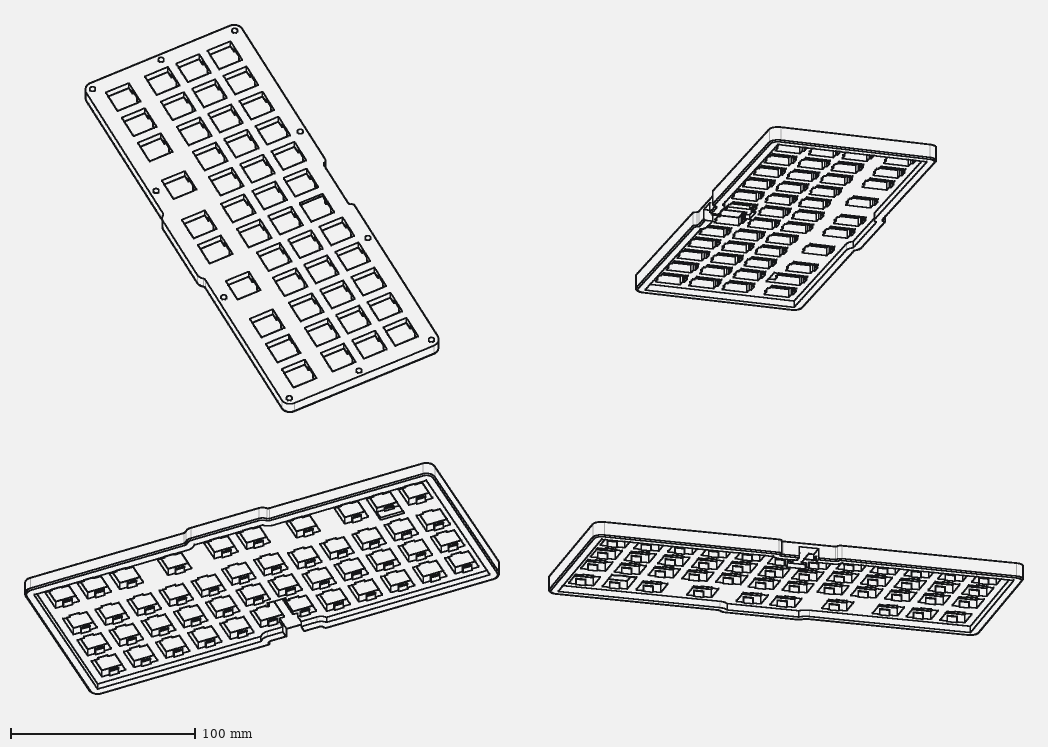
import cadquery as cq
import math

KEY_PITCH = 19.05
CUTOUT = 14.0
COLUMNS = 12
MAIN_ROWS = 3
CENTRE_COLUMNS = 2
LOW_ROW_OUTER_KEYS = 3
SPREAD_KEY_X = 2 * KEY_PITCH
CENTRE_DROP = KEY_PITCH / 8
LOW_ROW_STEP = KEY_PITCH * 1.25
FRAME = 16.525

HEIGHT = 8.35
LENGTH = (COLUMNS - 1) * KEY_PITCH + 2 * FRAME
MAIN_WIDTH = (MAIN_ROWS - 1) * KEY_PITCH + LOW_ROW_STEP + 2 * FRAME
TOP = (MAIN_WIDTH + CENTRE_DROP) / 2
BOTTOM = TOP - MAIN_WIDTH
FIRST_COLUMN_X = -LENGTH / 2 + FRAME
TOP_ROW_Y = TOP - FRAME
LOW_ROW_Y = BOTTOM + FRAME
CORNER_RADIUS = 5.0
BOTTOM_CHAMFER = 0.8

PLATE_THICKNESS = 4.7
RIM_WIDTH = 5.0
CABLE_SLOT_WIDTH = 10.8
CABLE_SLOT_REACH = 28.5
WEB_POCKET_X = 4.5 * KEY_PITCH
WEB_POCKET_REACH = 5.0
WEB_POCKET_ROOF = 3.0
CABLE_SLOT_ROOF = 2.2

TAB_FLAT_HALF = 20.2
TAB_RADIUS = 5.0
TAB_ROOT_RADIUS = 1.5
NOTCH_FLAT_HALF = 14.7
NOTCH_RADIUS = 2.0
NOTCH_ROOT_RADIUS = 1.0

CLIP_WIDTH = 5.5
CLIP_REACH = 1.0
CLIP_TOP = 1.5
CLIP_HEIGHT = PLATE_THICKNESS - CLIP_TOP

SCREW_DIAMETER = 3.1
SCREW_DEPTH = 4.0
CORNER_SCREW_INSET = 4.2
SIDE_SCREW_INSET = 3.5
EDGE_SCREW_INSET = 3.6
EDGE_SCREW_X = 40.3


def step_curve(flat_radius, other_radius):
    """Run along X of two opposed tangent arcs that drop by CENTRE_DROP, and the X and Y
    of the point where they meet, measured from the tangent point of the first arc."""
    total = flat_radius + other_radius
    run = math.sqrt(total**2 - (total - CENTRE_DROP) ** 2)
    share = flat_radius / total
    return run, run * share, CENTRE_DROP * share


def block(left, right, front, back, height):
    """Box standing on the underside plane."""
    return (
        cq.Workplane("XY")
        .center((left + right) / 2, (front + back) / 2)
        .rect(right - left, back - front)
        .extrude(height)
    )


def plate_outline():
    tab_run, tab_x, tab_y = step_curve(TAB_RADIUS, TAB_ROOT_RADIUS)
    notch_run, notch_x, notch_y = step_curve(NOTCH_ROOT_RADIUS, NOTCH_RADIUS)
    tab_y_level = BOTTOM - CENTRE_DROP
    notch_y_level = TOP - CENTRE_DROP
    half = LENGTH / 2

    return (
        cq.Workplane("XY")
        .moveTo(-half, BOTTOM)
        .lineTo(-TAB_FLAT_HALF - tab_run, BOTTOM)
        .radiusArc((-TAB_FLAT_HALF - tab_x, tab_y_level + tab_y), TAB_ROOT_RADIUS)
        .radiusArc((-TAB_FLAT_HALF, tab_y_level), -TAB_RADIUS)
        .lineTo(TAB_FLAT_HALF, tab_y_level)
        .radiusArc((TAB_FLAT_HALF + tab_x, tab_y_level + tab_y), -TAB_RADIUS)
        .radiusArc((TAB_FLAT_HALF + tab_run, BOTTOM), TAB_ROOT_RADIUS)
        .lineTo(half, BOTTOM)
        .lineTo(half, TOP)
        .lineTo(NOTCH_FLAT_HALF + notch_run, TOP)
        .radiusArc((NOTCH_FLAT_HALF + notch_x, notch_y_level + notch_y), -NOTCH_RADIUS)
        .radiusArc((NOTCH_FLAT_HALF, notch_y_level), NOTCH_ROOT_RADIUS)
        .lineTo(-NOTCH_FLAT_HALF, notch_y_level)
        .radiusArc((-NOTCH_FLAT_HALF - notch_x, notch_y_level + notch_y), NOTCH_ROOT_RADIUS)
        .radiusArc((-NOTCH_FLAT_HALF - notch_run, TOP), -NOTCH_RADIUS)
        .lineTo(-half, TOP)
        .close()
    )


def plate_blank():
    blank = plate_outline().extrude(HEIGHT)
    half = LENGTH / 2
    for x in (-half, half):
        for y in (BOTTOM, TOP):
            corner = cq.selectors.BoxSelector((x - 1, y - 1, 0), (x + 1, y + 1, HEIGHT))
            blank = blank.edges(corner).fillet(CORNER_RADIUS)
    return blank.faces("<Z").edges().chamfer(BOTTOM_CHAMFER)


def key_centres():
    centres = []
    for column in range(COLUMNS):
        x = FIRST_COLUMN_X + column * KEY_PITCH
        end_distance = min(column, COLUMNS - 1 - column)
        is_centre = abs(x) < KEY_PITCH * CENTRE_COLUMNS / 2
        drop = CENTRE_DROP if is_centre else 0
        for row in range(MAIN_ROWS):
            centres.append((x, TOP_ROW_Y - row * KEY_PITCH - drop))
        if is_centre or end_distance < LOW_ROW_OUTER_KEYS:
            centres.append((x, LOW_ROW_Y - drop))
    for side in (-1, 1):
        centres.append((side * SPREAD_KEY_X, LOW_ROW_Y))
    return centres


def screw_centres():
    half = LENGTH / 2
    centres = []
    for side in (-1, 1):
        corner_x = side * (half - CORNER_SCREW_INSET)
        centres.append((corner_x, TOP - CORNER_SCREW_INSET))
        centres.append((corner_x, BOTTOM + CORNER_SCREW_INSET))
        centres.append((side * EDGE_SCREW_X, TOP - EDGE_SCREW_INSET))
        centres.append((side * EDGE_SCREW_X, BOTTOM + EDGE_SCREW_INSET))
        centres.append((side * (half - SIDE_SCREW_INSET), 0))
    return centres


def cut_keys(plate):
    cutouts = cq.Workplane("XY").pushPoints(key_centres()).rect(CUTOUT, CUTOUT).extrude(HEIGHT)
    clips = (
        cq.Workplane("XY", origin=(0, 0, HEIGHT - CLIP_TOP))
        .pushPoints(key_centres())
        .rect(CLIP_WIDTH, CUTOUT + 2 * CLIP_REACH)
        .extrude(-CLIP_HEIGHT)
    )
    return plate.cut(cutouts).cut(clips)


def cut_underside(plate):
    cavity_depth = HEIGHT - PLATE_THICKNESS
    cavity = plate_outline().offset2D(-RIM_WIDTH).extrude(cavity_depth)

    slot_half = CABLE_SLOT_WIDTH / 2
    slot_depth = HEIGHT - CABLE_SLOT_ROOF
    cable_slot = block(-slot_half, slot_half, TOP - CABLE_SLOT_REACH, TOP, slot_depth)

    pocket_left = WEB_POCKET_X - CUTOUT / 2
    pocket_front = LOW_ROW_Y + CUTOUT / 2
    web_pocket = block(
        pocket_left, pocket_left + CUTOUT, pocket_front, pocket_front + WEB_POCKET_REACH,
        HEIGHT - WEB_POCKET_ROOF,
    )
    return plate.cut(cavity).cut(cable_slot).cut(web_pocket)


def cut_screw_holes(plate):
    holes = (
        cq.Workplane("XY", origin=(0, 0, HEIGHT))
        .pushPoints(screw_centres())
        .circle(SCREW_DIAMETER / 2)
        .extrude(-SCREW_DEPTH)
    )
    return plate.cut(holes)


result = cut_screw_holes(cut_keys(cut_underside(plate_blank())))